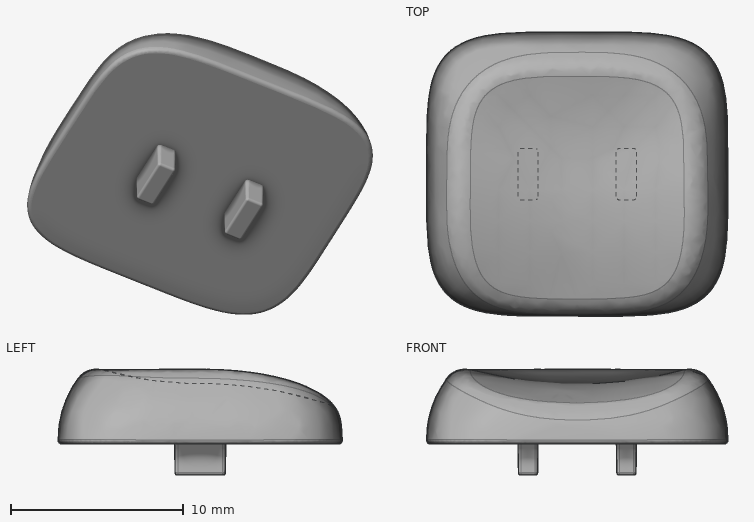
import cadquery as cq
import math

BASE_LENGTH_X = 17.47
BASE_LENGTH_Y = 16.49
WALL_ARC_RADIUS = 6.0
WALL_ARC_START_Z = 0.25
BASE_SQUARENESS = 4.4
RIM_SQUARENESS = 3.2
RIM_HEIGHT = 3.8
BLANK_HEIGHT = 5.0
SECTION_COUNT = 6
OUTLINE_POINTS = 48
BASE_EDGE_RADIUS = 0.25
RIM_RADIUS = 1.3

DISH_FLOOR_Z = 3.5
DISH_RISE = 0.81
DISH_HALF_X = 6.2
DISH_HALF_Y = 5.7
DISH_SQUARENESS = 4.0
FRONT_FALL_RADIUS = 23.5
DISH_REACH = 10.0
DISH_GRID = 41
DISH_TOLERANCE = 0.005

LEG_SPACING = 5.7
LEG_WIDTH_X = 1.2
LEG_WIDTH_Y = 3.0
LEG_LENGTH = 1.8
LEG_EDGE_RADIUS = 0.2
LEG_TIP_RADIUS = 0.15
LEG_TAPER = 1.0
LEG_OVERLAP = 0.5


def outline(z):
    """Superellipse outline of the cap at height z, rounder the higher it lies."""
    climb = z - WALL_ARC_START_Z
    inset = WALL_ARC_RADIUS - math.sqrt(WALL_ARC_RADIUS**2 - climb**2)
    lean = climb / (RIM_HEIGHT - WALL_ARC_START_Z)
    squareness = BASE_SQUARENESS + (RIM_SQUARENESS - BASE_SQUARENESS) * lean
    half_x = BASE_LENGTH_X / 2 - inset
    half_y = BASE_LENGTH_Y / 2 - inset
    points = []
    for i in range(OUTLINE_POINTS):
        angle = 2 * math.pi * i / OUTLINE_POINTS
        c = math.cos(angle)
        s = math.sin(angle)
        reach = (abs(c) ** squareness + abs(s) ** squareness) ** (-1 / squareness)
        points.append(cq.Vector(half_x * reach * c, half_y * reach * s, z))
    return cq.Wire.assembleEdges([cq.Edge.makeSpline(points, periodic=True)])


def cap_blank():
    """Cap with its leaning walls and a flat top, before the dish is cut."""
    heights = [BLANK_HEIGHT * i / (SECTION_COUNT - 1) for i in range(SECTION_COUNT)]
    return cq.Workplane(obj=cq.Solid.makeLoft([outline(z) for z in heights]))


def dish_height(x, y):
    """Height of the dish floor at a point in plan."""
    across = abs(x) / DISH_HALF_X
    if y < 0:
        return DISH_FLOOR_Z + DISH_RISE * across**2 - y**2 / (2 * FRONT_FALL_RADIUS)
    along = y / DISH_HALF_Y
    bowl = (across**DISH_SQUARENESS + along**DISH_SQUARENESS) ** (2 / DISH_SQUARENESS)
    return DISH_FLOOR_Z + DISH_RISE * bowl


def dish_cutter():
    """Material above the dish floor."""
    steps = [DISH_REACH * (2 * i / (DISH_GRID - 1) - 1) for i in range(DISH_GRID)]
    grid = [[cq.Vector(x, y, dish_height(x, y)) for y in steps] for x in steps]
    floor = cq.Face.makeSplineApprox(grid, tol=DISH_TOLERANCE)
    return cq.Workplane(obj=cq.Solid.extrudeLinear(floor, cq.Vector(0, 0, BLANK_HEIGHT)))


def leg(x):
    """Clip leg centred at x, tapering slightly toward its rounded tip."""
    root = cq.Sketch().rect(LEG_WIDTH_X, LEG_WIDTH_Y).vertices().fillet(LEG_EDGE_RADIUS)
    length = LEG_LENGTH + LEG_OVERLAP
    shaft = cq.Workplane("XY", origin=(x, 0, LEG_OVERLAP)).placeSketch(root)
    shaft = shaft.extrude(-length, taper=LEG_TAPER)
    return shaft.faces("<Z").edges().fillet(LEG_TIP_RADIUS)


cap = cap_blank().cut(dish_cutter())
cap = cap.faces(">Z").edges().fillet(RIM_RADIUS)
cap = cap.faces("<Z").edges().fillet(BASE_EDGE_RADIUS)
result = cap
for side in (-1, 1):
    result = result.union(leg(side * LEG_SPACING / 2))